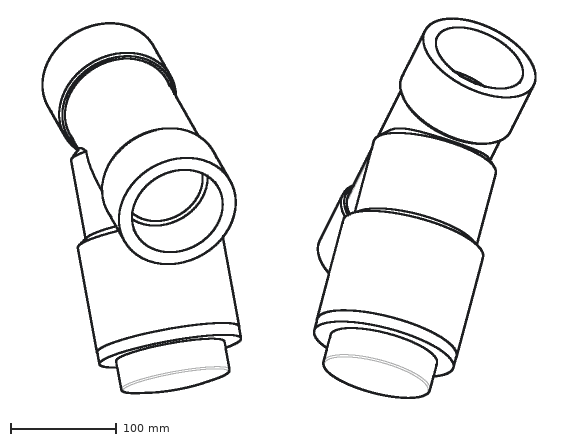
import cadquery as cq
import math

pipe_length = 263.0
pipe_diameter = 106.0
bore_diameter = 80.0
collar_diameter = 116.0
collar_length = 60.2
collar_chamfer = 2.5
socket_diameter = 90.0
socket_depth = 52.0

branch_angle = 50.0
branch_x = 96.7
neck_diameter = 120.5
neck_start = 22.5
neck_end = 100.3
chamber_diameter = 138.0
chamber_start = 106.5
chamber_end = 209.0
root_distance = 6.0

flange_diameter = 137.5
flange_end = 220.5
knob_diameter = 105.0
knob_end = 249.2
knob_edge_fillet = 1.8
dome_height = 6.5

neck_radius = neck_diameter / 2
chamber_radius = chamber_diameter / 2
knob_radius = knob_diameter / 2
root_radius = neck_radius - (neck_start - root_distance)

branch_slope = math.radians(branch_angle)
branch_plane = cq.Plane(
    origin=(branch_x, 0, 0),
    xDir=(-math.sin(branch_slope), 0, -math.cos(branch_slope)),
    normal=(0, -1, 0),
)


def rod(start, length, diameter):
    """Solid cylinder along the pipe axis."""
    return cq.Workplane("YZ", origin=(start, 0, 0)).circle(diameter / 2).extrude(length)


def revolve_on_branch(profile):
    return profile.close().revolve(360, (0, 0), (0, 1))


def make_housing():
    left_collar = rod(0, collar_length, collar_diameter).faces(">X").chamfer(collar_chamfer)
    right_collar_start = pipe_length - collar_length
    right_collar = rod(right_collar_start, collar_length, collar_diameter).faces("<X").chamfer(collar_chamfer)

    branch = revolve_on_branch(
        cq.Workplane(branch_plane)
        .moveTo(0, root_distance)
        .lineTo(root_radius, root_distance)
        .lineTo(neck_radius, neck_start)
        .lineTo(neck_radius, neck_end)
        .lineTo(chamber_radius, chamber_start)
        .lineTo(chamber_radius, chamber_end)
        .lineTo(0, chamber_end)
    )
    housing = rod(0, pipe_length, pipe_diameter).union(left_collar).union(right_collar).union(branch)

    housing = housing.cut(rod(0, pipe_length, bore_diameter))
    for socket_start in (0, pipe_length - socket_depth):
        housing = housing.cut(rod(socket_start, socket_depth, socket_diameter))
    return housing


def make_cap():
    flange = revolve_on_branch(
        cq.Workplane(branch_plane)
        .moveTo(0, chamber_end)
        .lineTo(flange_diameter / 2, chamber_end)
        .lineTo(flange_diameter / 2, flange_end)
        .lineTo(0, flange_end)
    )
    sphere_radius = (knob_radius**2 + dome_height**2) / (2 * dome_height)
    half_angle = math.asin(knob_radius / sphere_radius) / 2
    sphere_center = knob_end + dome_height - sphere_radius
    dome_middle = (
        sphere_radius * math.sin(half_angle),
        sphere_center + sphere_radius * math.cos(half_angle),
    )
    knob = revolve_on_branch(
        cq.Workplane(branch_plane)
        .moveTo(0, chamber_end)
        .lineTo(knob_radius, chamber_end)
        .lineTo(knob_radius, knob_end)
        .threePointArc(dome_middle, (0, knob_end + dome_height))
    )
    knob_rim = cq.selectors.NearestToPointSelector(branch_plane.toWorldCoords((0, knob_end, 0)).toTuple())
    knob = knob.edges("%CIRCLE").edges(knob_rim).fillet(knob_edge_fillet)
    return flange.union(knob)


housing = make_housing()
cap = make_cap()
result = cq.Compound.makeCompound([housing.solids().val(), cap.solids().val()])